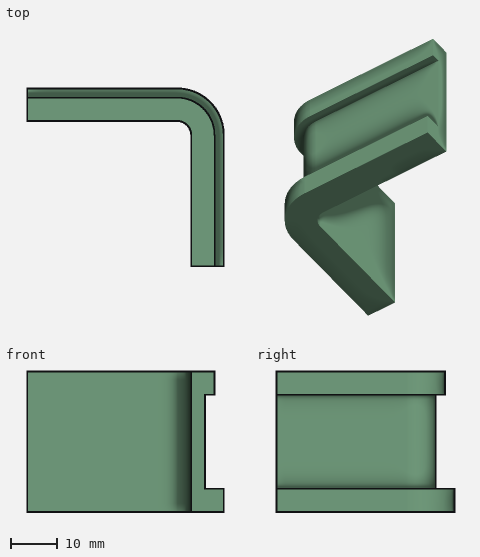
import cadquery as cq

LENGTH_X = 42.0
LENGTH_Y = 38.0
HEIGHT = 30.0

BOTTOM_FLANGE_DEPTH = 7.0
WEB_THICKNESS = 3.0
TOP_FLANGE_DEPTH = 5.0
FLANGE_HEIGHT = 5.0

INNER_RADIUS = 3.0

INNER_X = LENGTH_X - BOTTOM_FLANGE_DEPTH
INNER_Y = LENGTH_Y - BOTTOM_FLANGE_DEPTH


def l_layer(thickness, base_z, height):
    """L-shaped slab with concentric inner and outer bend arcs."""
    outer_x = INNER_X + thickness
    outer_y = INNER_Y + thickness
    slab = (
        cq.Workplane("XY")
        .workplane(offset=base_z)
        .moveTo(0, INNER_Y)
        .lineTo(0, outer_y)
        .lineTo(INNER_X - INNER_RADIUS, outer_y)
        .radiusArc((outer_x, INNER_Y - INNER_RADIUS), INNER_RADIUS + thickness)
        .lineTo(outer_x, 0)
        .lineTo(INNER_X, 0)
        .lineTo(INNER_X, INNER_Y - INNER_RADIUS)
        .radiusArc((INNER_X - INNER_RADIUS, INNER_Y), -INNER_RADIUS)
        .close()
        .extrude(height)
    )
    return slab


web = l_layer(WEB_THICKNESS, 0, HEIGHT)
bottom_flange = l_layer(BOTTOM_FLANGE_DEPTH, 0, FLANGE_HEIGHT)
top_flange = l_layer(TOP_FLANGE_DEPTH, HEIGHT - FLANGE_HEIGHT, FLANGE_HEIGHT)

result = web.union(bottom_flange).union(top_flange).clean()